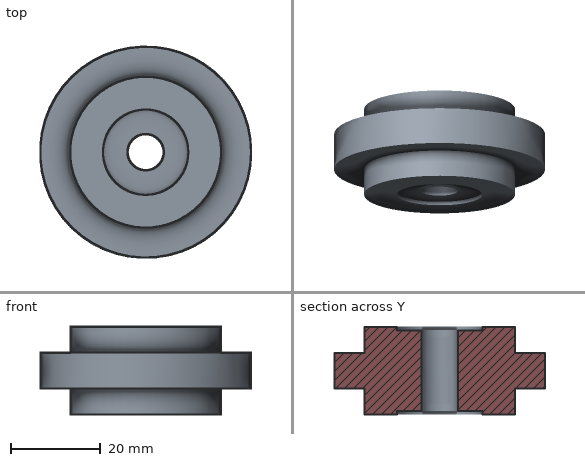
import cadquery as cq

flange_diameter = 47.0
flange_thickness = 8.0
hub_diameter = 33.6
total_height = 19.6
bore_diameter = 8.0
recess_diameter = 19.0
recess_depth = 0.8

flange_radius = flange_diameter / 2
hub_radius = hub_diameter / 2
bore_radius = bore_diameter / 2
recess_radius = recess_diameter / 2
hub_top = total_height / 2
flange_top = flange_thickness / 2
recess_floor = hub_top - recess_depth


def make_wheel():
    """Revolve the stepped section around Z; both end faces carry the same shallow recess."""
    upper_corners = [
        (flange_radius, flange_top),
        (hub_radius, flange_top),
        (hub_radius, hub_top),
        (recess_radius, hub_top),
        (recess_radius, recess_floor),
        (bore_radius, recess_floor),
    ]
    lower_corners = [(radius, -height) for radius, height in reversed(upper_corners)]
    section = cq.Workplane("XZ").polyline(upper_corners + lower_corners).close()
    return section.revolve(360, (0, 0, 0), (0, 1, 0))


result = make_wheel()